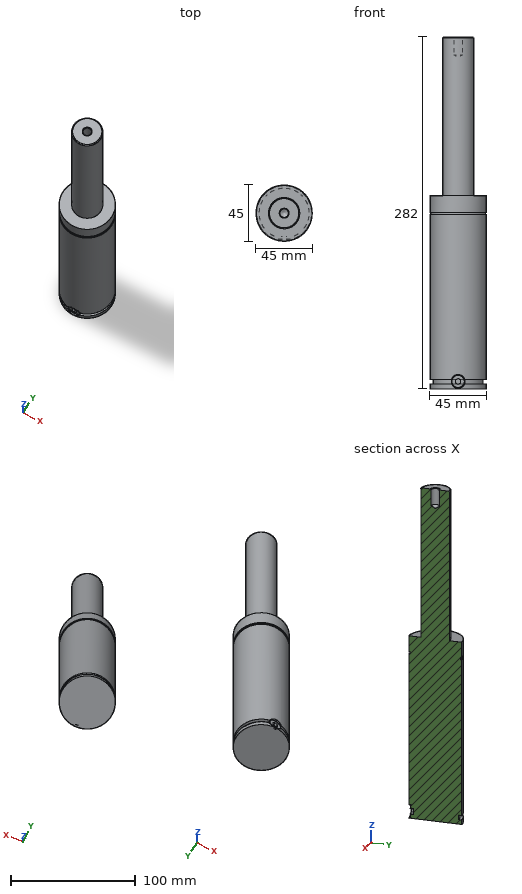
import cadquery as cq
import math

total_height = 282.0
body_diameter = 45.0
body_height = 155.0

foot_groove_bottom = 4.2
foot_groove_top = 7.5
foot_groove_depth = 2.5

collar_groove_bottom = 140.0
collar_groove_top = 141.5
collar_groove_depth = 0.5

rod_diameter = 25.0
rod_chamfer = 0.8
rod_hole_diameter = 6.8
rod_hole_depth = 14.0
rod_hole_chamfer = 0.5
drill_tip_angle = 118

plug_diameter = 11.0
plug_face_diameter = 10.0
plug_height = 6.2
plug_recess = 1.0
plug_length = 8.5
socket_across_corners = 4.8
socket_depth = 2.8


def ring_groove(bottom, top, depth):
    """Ring that cuts a groove into the outside of the body."""
    return (
        cq.Workplane("XY")
        .workplane(offset=bottom)
        .circle(body_diameter)
        .circle(body_diameter / 2 - depth)
        .extrude(top - bottom)
    )


def make_body():
    body = cq.Workplane("XY").circle(body_diameter / 2).extrude(body_height)
    body = body.cut(ring_groove(foot_groove_bottom, foot_groove_top, foot_groove_depth))
    return body.cut(ring_groove(collar_groove_bottom, collar_groove_top, collar_groove_depth))


def make_rod():
    rod = (
        cq.Workplane("XY")
        .workplane(offset=body_height)
        .circle(rod_diameter / 2)
        .extrude(total_height - body_height)
        .faces(">Z")
        .chamfer(rod_chamfer)
    )
    mouth_diameter = rod_hole_diameter + 2 * rod_hole_chamfer
    tip_height = rod_hole_diameter / 2 / math.tan(math.radians(drill_tip_angle / 2))
    hole_floor = total_height - rod_hole_depth
    hole = (
        cq.Workplane("XZ")
        .moveTo(0, total_height)
        .lineTo(mouth_diameter / 2, total_height)
        .lineTo(rod_hole_diameter / 2, total_height - rod_hole_chamfer)
        .lineTo(rod_hole_diameter / 2, hole_floor)
        .lineTo(0, hole_floor - tip_height)
        .close()
        .revolve(360, (0, 0, 0), (0, 1, 0))
    )
    return rod.cut(hole)


def plug_plane(radius):
    """Plane facing -Y at the given distance from the body axis, centred on the plug."""
    return cq.Workplane("XZ", origin=(0, -radius, plug_height))


def add_plug(body):
    face_radius = body_diameter / 2 - plug_recess
    bore_floor = face_radius - plug_length
    bore = plug_plane(bore_floor).circle(plug_diameter / 2).extrude(body_diameter / 2)
    plug = (
        plug_plane(bore_floor)
        .circle(plug_diameter / 2)
        .extrude(plug_length)
        .faces("<Y")
        .chamfer((plug_diameter - plug_face_diameter) / 2)
    )
    socket = (
        plug_plane(face_radius - socket_depth)
        .transformed(rotate=(0, 0, 90))
        .polygon(6, socket_across_corners)
        .extrude(socket_depth)
    )
    return body.cut(bore).union(plug.cut(socket))


result = add_plug(make_body()).union(make_rod())